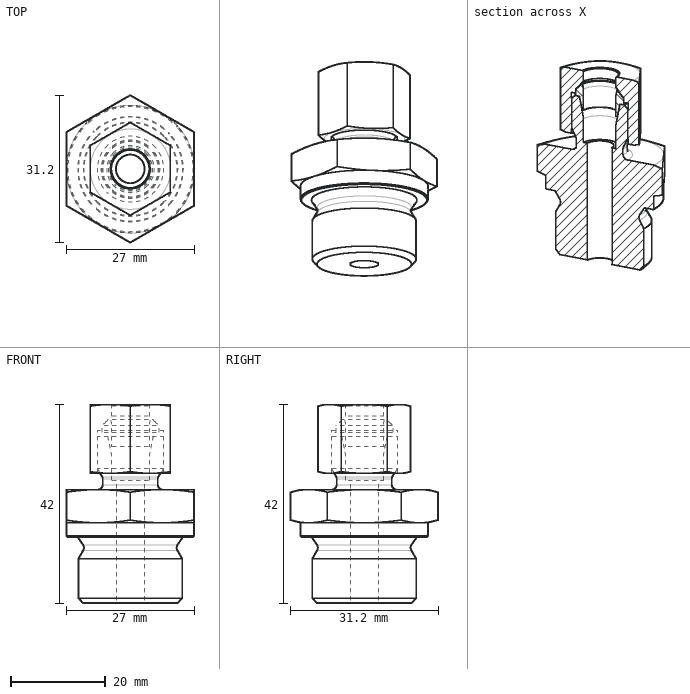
import cadquery as cq
import math


stud_chamfer_height = 1.1
stud_thread_top = 9.4
collar_bottom = 14.0
body_hex_bottom = 17.0
body_hex_top = 24.02
nut_bottom = 27.45
nut_top = 42.0
tube_stop = 26.05
body_top = 36.1
nut_thread_end = 36.55
ring_top = 38.95
nut_cone_top = 39.6

hex_sides = 6
body_hex_flats = 27.0
nut_hex_flats = 17.0
hex_chamfer_angle = 15.0

flow_bore = 6.0
tube_bore = 8.0
stud_thread = 22.0
collar = body_hex_flats
groove_root = 19.65
neck = 11.7
nut_thread = 14.0
nut_thread_tip = 12.4
ring_collar = 12.0
body_cone_mouth = 10.0
ring_mouth = 8.4

stud_chamfer_width = 1.0
collar_chamfer = 0.25
groove_fillet = 1.1
groove_lower_angle = 30.0
groove_upper_angle = 35.0
neck_fillet = 1.0
neck_top = 26.35
neck_upper_fillet = 0.8
neck_cone_angle = 30.0
nut_bore_chamfer = 0.2

sealing_cone_angle = 12.0
nut_cone_angle = 45.0
ring_cone_length = 2.95


def slope(angle):
    """Radial change per unit of height of a cone at this angle to the axis."""
    return math.tan(math.radians(angle))


nut_cone_bottom = nut_cone_top - (ring_collar - tube_bore) / 2 / slope(nut_cone_angle)


def on_concave_arc(root_radius, fillet, middle_height, angle):
    """Point of an arc that bulges towards the axis, at an angle above its innermost point."""
    turn = math.radians(angle)
    return (
        root_radius + fillet * (1 - math.cos(turn)),
        middle_height + fillet * math.sin(turn),
    )


def revolve_about_z(profile):
    """Turn a closed radius-height profile about the Z axis."""
    return profile.close().revolve(360, (0, 0, 0), (0, 1, 0))


def hexagon(flats, bottom, top):
    """Hexagonal prism with corners on the Y axis and both ends chamfered to a circle."""
    half_corner_angle = 180 / hex_sides
    flat_radius = flats / 2
    corner_radius = flat_radius / math.cos(math.radians(half_corner_angle))
    chamfer_height = (corner_radius - flat_radius) * slope(hex_chamfer_angle)
    prism = (
        cq.Workplane("XY", origin=(0, 0, bottom))
        .polygon(hex_sides, 2 * corner_radius)
        .extrude(top - bottom)
        .rotate((0, 0, 0), (0, 0, 1), half_corner_angle)
    )
    envelope = revolve_about_z(
        cq.Workplane("XZ")
        .moveTo(0, bottom)
        .lineTo(flat_radius, bottom)
        .lineTo(corner_radius, bottom + chamfer_height)
        .lineTo(corner_radius, top - chamfer_height)
        .lineTo(flat_radius, top)
        .lineTo(0, top)
    )
    return prism.intersect(envelope)


def make_stud_end():
    """Threaded stud, its undercut groove and the round collar under the hexagon."""
    thread_radius = stud_thread / 2
    collar_radius = collar / 2
    root_radius = groove_root / 2

    lower_tangent_radius = on_concave_arc(root_radius, groove_fillet, 0, -groove_lower_angle)[0]
    lower_cone_height = (thread_radius - lower_tangent_radius) / slope(groove_lower_angle)
    groove_middle = (
        stud_thread_top + lower_cone_height + groove_fillet * math.sin(math.radians(groove_lower_angle))
    )
    groove_start = on_concave_arc(root_radius, groove_fillet, groove_middle, -groove_lower_angle)
    groove_end = on_concave_arc(root_radius, groove_fillet, groove_middle, groove_upper_angle)
    groove_mouth_radius = groove_end[0] + (collar_bottom - groove_end[1]) * slope(groove_upper_angle)

    return revolve_about_z(
        cq.Workplane("XZ")
        .lineTo(thread_radius - stud_chamfer_width, 0)
        .lineTo(thread_radius, stud_chamfer_height)
        .lineTo(thread_radius, stud_thread_top)
        .lineTo(*groove_start)
        .threePointArc((root_radius, groove_middle), groove_end)
        .lineTo(groove_mouth_radius, collar_bottom)
        .lineTo(collar_radius - collar_chamfer, collar_bottom)
        .lineTo(collar_radius, collar_bottom + collar_chamfer)
        .lineTo(collar_radius, body_hex_bottom)
        .lineTo(0, body_hex_bottom)
    )


def make_tube_end():
    """Filleted neck above the hexagon and the cylinder that carries the nut thread."""
    neck_radius = neck / 2
    thread_radius = nut_thread / 2
    tip_radius = nut_thread_tip / 2
    tip_chamfer = thread_radius - tip_radius

    quarter_turn = 90
    fillet_centre_height = body_hex_top + neck_fillet
    fillet_middle = on_concave_arc(neck_radius, neck_fillet, fillet_centre_height, -quarter_turn / 2)
    upper_middle = on_concave_arc(neck_radius, neck_upper_fillet, neck_top, neck_cone_angle / 2)
    upper_end = on_concave_arc(neck_radius, neck_upper_fillet, neck_top, neck_cone_angle)
    thread_start = upper_end[1] + (thread_radius - upper_end[0]) / slope(neck_cone_angle)

    return revolve_about_z(
        cq.Workplane("XZ")
        .moveTo(0, body_hex_top)
        .lineTo(neck_radius + neck_fillet, body_hex_top)
        .threePointArc(fillet_middle, (neck_radius, fillet_centre_height))
        .lineTo(neck_radius, neck_top)
        .threePointArc(upper_middle, upper_end)
        .lineTo(thread_radius, thread_start)
        .lineTo(thread_radius, body_top - tip_chamfer)
        .lineTo(tip_radius, body_top)
        .lineTo(0, body_top)
    )


def make_body_passage():
    """Cutter for the flow bore, the tube socket and the sealing cone at its mouth."""
    flow_radius = flow_bore / 2
    tube_radius = tube_bore / 2
    mouth_radius = body_cone_mouth / 2
    cone_height = (mouth_radius - tube_radius) / slope(sealing_cone_angle)
    return revolve_about_z(
        cq.Workplane("XZ")
        .lineTo(flow_radius, 0)
        .lineTo(flow_radius, tube_stop)
        .lineTo(tube_radius, tube_stop)
        .lineTo(tube_radius, body_top - cone_height)
        .lineTo(mouth_radius, body_top)
        .lineTo(0, body_top)
    )


def make_body():
    """Stud body: stud end, hexagon and tube end with the passage through them."""
    return (
        make_stud_end()
        .union(hexagon(body_hex_flats, body_hex_bottom, body_hex_top))
        .union(make_tube_end())
        .cut(make_body_passage())
    )


def nut_cone_radius(height):
    """Radius of the nut's inner cone, which narrows upwards to the tube bore."""
    return ring_collar / 2 - (height - nut_cone_bottom) * slope(nut_cone_angle)


def make_cutting_ring():
    """Ring wedged between the nut's inner cone and the body's sealing cone."""
    tube_radius = tube_bore / 2
    collar_radius = ring_collar / 2
    mouth_radius = ring_mouth / 2
    mouth_cone_height = (mouth_radius - tube_radius) / slope(sealing_cone_angle)
    seat_radius = body_cone_mouth / 2
    tip_height = body_top - ring_cone_length
    tip_radius = seat_radius - ring_cone_length * slope(sealing_cone_angle)
    return revolve_about_z(
        cq.Workplane("XZ")
        .moveTo(tube_radius, tip_height)
        .lineTo(tip_radius, tip_height)
        .lineTo(seat_radius, body_top)
        .lineTo(collar_radius, body_top)
        .lineTo(collar_radius, nut_cone_bottom)
        .lineTo(nut_cone_radius(ring_top), ring_top)
        .lineTo(mouth_radius, ring_top)
        .lineTo(tube_radius, ring_top - mouth_cone_height)
    )


def make_nut_passage():
    """Cutter for the nut thread, the ring recess, the inner cone and the tube hole."""
    thread_radius = nut_thread / 2
    recess_radius = ring_collar / 2
    tube_radius = tube_bore / 2
    return revolve_about_z(
        cq.Workplane("XZ")
        .moveTo(0, nut_bottom)
        .lineTo(thread_radius, nut_bottom)
        .lineTo(thread_radius, nut_thread_end)
        .lineTo(recess_radius, nut_thread_end)
        .lineTo(recess_radius, nut_cone_bottom)
        .lineTo(tube_radius, nut_cone_top)
        .lineTo(tube_radius, nut_top - nut_bore_chamfer)
        .lineTo(tube_radius + nut_bore_chamfer, nut_top)
        .lineTo(0, nut_top)
    )


def make_nut():
    """Hexagonal union nut."""
    return hexagon(nut_hex_flats, nut_bottom, nut_top).cut(make_nut_passage())


body = make_body()
cutting_ring = make_cutting_ring()
nut = make_nut()

result = cq.Compound.makeCompound([body.val(), cutting_ring.val(), nut.val()])